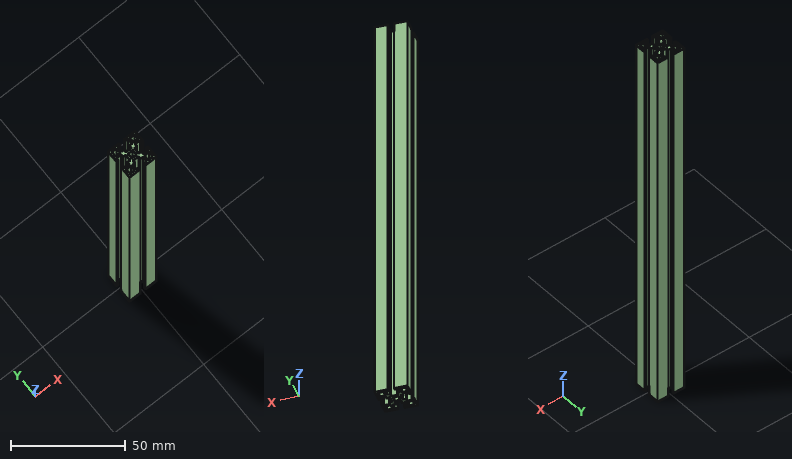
import cadquery as cq

length = 200.0
width = 15.0

cell_side = 2.5
cell_skin = 1.15
cell_to_slot_wall = 0.9

half_width = width / 2
corner_cell_position = half_width - cell_skin - cell_side / 2

lip_thickness = 1.0
slot_mouth = 3.0
chamber_depth = 2.5
floor_depth = 5.0
chamber_width = 2 * (corner_cell_position - cell_side / 2 - cell_to_slot_wall)


def square_bar(side):
    """Square prism running the full length, centred on the Z axis."""
    return cq.Workplane("XY").rect(side, side).extrude(length)


def slot():
    """T-slot cutter entering from the -Y side."""
    mouth = (
        cq.Workplane("XY")
        .center(0, -half_width + floor_depth / 2)
        .rect(slot_mouth, floor_depth)
        .extrude(length)
    )
    chamber = (
        cq.Workplane("XY")
        .center(0, -half_width + lip_thickness + chamber_depth / 2)
        .rect(chamber_width, chamber_depth)
        .extrude(length)
    )
    return mouth.union(chamber)


profile = square_bar(width).cut(square_bar(cell_side))

for x_side in (-1, 1):
    for y_side in (-1, 1):
        cell_center = (x_side * corner_cell_position, y_side * corner_cell_position, 0)
        profile = profile.cut(square_bar(cell_side).translate(cell_center))

for angle in (0, 90, 180, 270):
    profile = profile.cut(slot().rotate((0, 0, 0), (0, 0, 1), angle))

result = profile